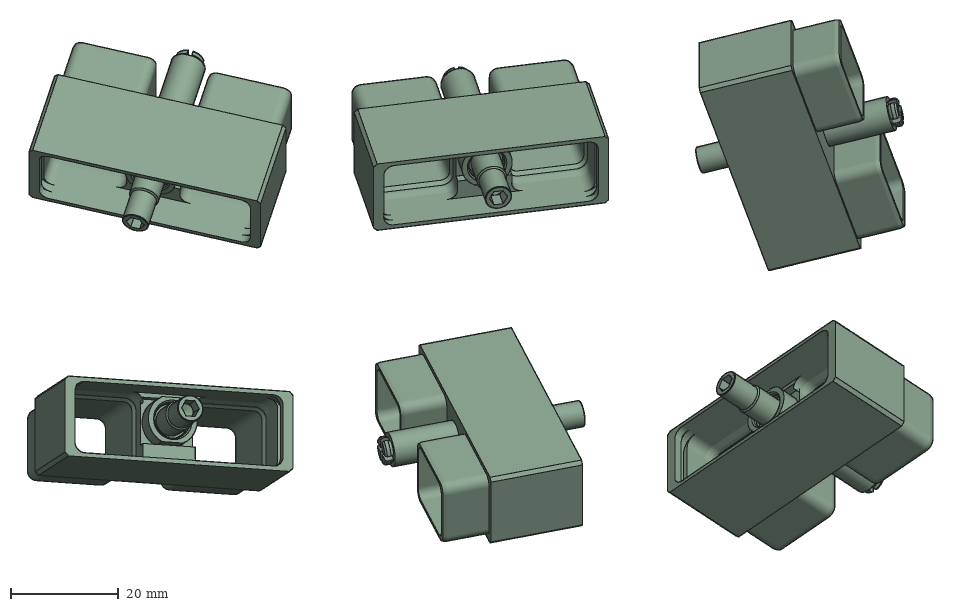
import cadquery as cq
import math


housing_width = 44.5
housing_height = 15.17
housing_depth = 17.8
housing_chamfer = 0.65

cavity_width = 40.6
cavity_height = 13.55
cavity_depth = 5.87
corner_radius = 1.9

groove_reach = 1.0
groove_front = 1.6
groove_back = 3.2

plug_center = 13.0
plug_width = 16.05
plug_height = 13.5
plug_back = 26.7
plug_lead_length = 0.75
plug_lead_inset = 0.2
passage_width = 15.17
passage_center = (cavity_width - passage_width) / 2
first_ramp_start = 8.0
first_ramp_end = 9.35
first_ramp_rise = 0.3
middle_corner_radius = 2.22
second_ramp_start = 10.05
second_ramp_end = 11.0
second_ramp_inset = 0.5

screw_z = 1.5
notch_height = 8.75
notch_back = 7.48
boss_radius = 4.75
boss_flat_height = 8.55
boss_front = 3.75

bore_mouth_radius = 3.75
bore_radius = 3.43
bore_floor_radius = 3.25
bore_mouth_depth = 0.25
bore_straight_depth = 0.9
bore_depth = 1.35

pin_tip = -6.75
pin_radius = 2.5
pin_chamfer = 0.15
collar_radius = 2.8
collar_front = -0.62
collar_taper_end = -0.9
socket_across_flats = 3.0
socket_depth = 3.0
drill_point_angle = 118.0

post_radius = 3.25
post_back = 30.45
end_radius = 2.65
end_neck_radius = 2.35
end_back = 32.15
end_straight_start = 31.05
end_straight_end = 31.77
slot_width = 1.0


def section(y):
    """Workplane at depth y, with local Y along Z; negative extrusions run toward +Y."""
    return cq.Workplane(cq.Plane(origin=(0, y, 0), xDir=(1, 0, 0), normal=(0, -1, 0)))


def rounded_block(width, height, radius, y_start, y_end, x_center=0.0):
    block = section(y_start).center(x_center, 0).rect(width, height).extrude(y_start - y_end)
    return block.edges("|Y").fillet(radius)


def rounded_taper(start_size, end_size, y_start, y_end, x_center):
    """Ruled transition between two rounded rectangles given as (width, height, radius)."""
    outlines = []
    for (width, height, radius), offset in ((start_size, 0), (end_size, y_start - y_end)):
        outline = cq.Sketch().rect(width, height).vertices().fillet(radius)
        outlines.append(outline.moved(cq.Location(cq.Vector(0, 0, offset))))
    return section(y_start).center(x_center, 0).placeSketch(*outlines).loft(ruled=True)


def turned(profile):
    """Revolve (radius, y) points around the screw axis."""
    return (
        cq.Workplane("XY", origin=(0, 0, screw_z))
        .polyline(profile)
        .close()
        .revolve(360, (0, 0, 0), (0, 1, 0))
    )


def make_housing():
    block = section(0).rect(housing_width, housing_height).extrude(-housing_depth)
    return block.edges("|Y").chamfer(housing_chamfer)


def make_plug(side):
    x = side * plug_center
    plug = rounded_block(plug_width, plug_height, corner_radius, housing_depth / 2, plug_back, x)
    return plug.faces(">Y").chamfer(plug_lead_length, plug_lead_inset)


def make_cavity():
    cavity = rounded_block(cavity_width, cavity_height, corner_radius, 0, cavity_depth)
    groove_width = cavity_width + 2 * groove_reach
    groove_radius = corner_radius + groove_reach
    groove = rounded_block(groove_width, cavity_height, groove_radius, groove_front, groove_back)
    return cavity.union(groove)


def make_passage(side):
    """Passage that narrows in two ramps: first in height, then on all four sides."""
    x = side * passage_center
    entry = (passage_width, cavity_height, corner_radius)
    middle = (passage_width, cavity_height - 2 * first_ramp_rise, middle_corner_radius)
    bore = (
        passage_width - 2 * second_ramp_inset,
        middle[1] - 2 * second_ramp_inset,
        middle_corner_radius - second_ramp_inset,
    )
    passage = rounded_block(*entry, cavity_depth / 2, first_ramp_start, x)
    passage = passage.union(rounded_taper(entry, middle, first_ramp_start, first_ramp_end, x))
    passage = passage.union(rounded_block(*middle, first_ramp_end, second_ramp_start, x))
    passage = passage.union(rounded_taper(middle, bore, second_ramp_start, second_ramp_end, x))
    return passage.union(rounded_block(*bore, second_ramp_end, plug_back, x))


def make_notch():
    notch_width = 2 * passage_center - passage_width
    return section(0).center(0, screw_z).rect(notch_width, notch_height).extrude(-notch_back)


def make_boss():
    """Round boss with a flat top and bottom, reaching out of the notch."""
    length = notch_back - boss_front
    boss = section(boss_front).center(0, screw_z).circle(boss_radius).extrude(-length)
    slab = section(boss_front).center(0, screw_z).rect(2 * boss_radius, boss_flat_height)
    return boss.intersect(slab.extrude(-length))


def make_bore():
    return turned([
        (0, boss_front),
        (bore_mouth_radius, boss_front),
        (bore_radius, boss_front + bore_mouth_depth),
        (bore_radius, boss_front + bore_straight_depth),
        (bore_floor_radius, boss_front + bore_depth),
        (0, boss_front + bore_depth),
    ])


def make_screw():
    screw = turned([
        (0, pin_tip),
        (pin_radius - pin_chamfer, pin_tip),
        (pin_radius, pin_tip + pin_chamfer),
        (pin_radius, collar_taper_end),
        (collar_radius, collar_front),
        (collar_radius, notch_back),
        (post_radius, notch_back),
        (post_radius, post_back),
        (end_neck_radius, post_back),
        (end_radius, end_straight_start),
        (end_radius, end_straight_end),
        (end_neck_radius, end_back),
        (0, end_back),
    ])
    return screw.cut(make_socket()).cut(make_slots())


def make_socket():
    """Hexagonal socket with a conical drill point at its bottom."""
    socket_bottom = pin_tip + socket_depth
    across_corners = socket_across_flats / math.cos(math.radians(30))
    hexagon = section(pin_tip).center(0, screw_z).polygon(6, across_corners).extrude(-socket_depth)
    drill_radius = socket_across_flats / 2
    drill_length = drill_radius / math.tan(math.radians(drill_point_angle / 2))
    drill_point = turned([
        (0, socket_bottom),
        (drill_radius, socket_bottom),
        (0, socket_bottom + drill_length),
    ])
    return hexagon.union(drill_point)


def make_slots():
    """Two crossed slots in the rear end of the screw."""
    plane = section(post_back).center(0, screw_z)
    slot_depth = end_back - post_back
    upright = plane.rect(slot_width, 2 * end_radius).extrude(-slot_depth)
    level = plane.rect(2 * end_radius, slot_width).extrude(-slot_depth)
    return upright.union(level)


result = make_housing()
for side in (-1, 1):
    result = result.union(make_plug(side))
result = result.cut(make_cavity()).cut(make_notch())
for side in (-1, 1):
    result = result.cut(make_passage(side))
result = result.union(make_boss()).cut(make_bore()).union(make_screw())